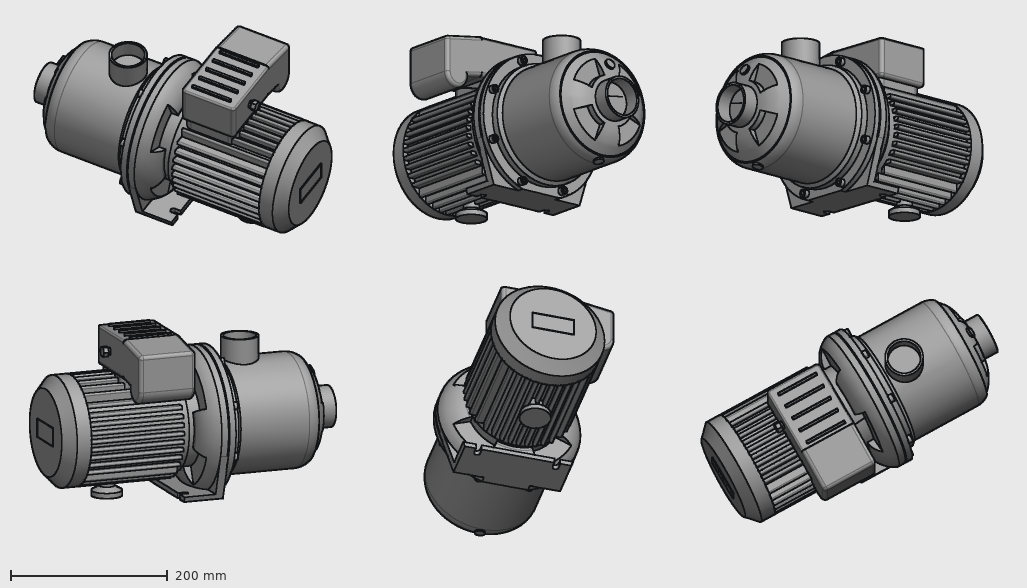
import cadquery as cq
import math


DOME_FRONT_X = 20.5
DOME_POCKET_FLOOR_X = 30.5
DOME_BACK_X = 40.0
SHOULDER_END_X = 55.5
BARREL_END_X = 149.0
COLLAR_START_X = 153.5
FLANGE_FRONT_X = 163.5
PLATE_FRONT_X = 172.0
PLATE_BACK_X = 182.7
WINDOW_FLOOR_X = 197.5
LANTERN_END_X = 207.0
MOTOR_FLANGE_X = 215.7
FINS_START_X = 225.0
FINS_END_X = 352.0
COVER_TAPER_X = 371.7
COVER_END_X = 387.0
NAMEPLATE_END_X = 388.0

DOME_FRONT_R = 27.0
POCKET_INNER_R = 34.0
DOME_POCKET_R = 58.0
DOME_BACK_R = 136.0 / 2
SHOULDER_START_R = 70.0
BARREL_R = 150.0 / 2
COLLAR_R = 160.0 / 2
FLANGE_R = 94.5
LANTERN_MID_R = 84.5
LANTERN_END_R = 64.0
NECK_R = 120.0 / 2
MOTOR_CORE_R = 130.0 / 2
MOTOR_R = 145.0 / 2
COVER_END_R = 57.0

INLET_D = 54.5
INLET_BORE_D = 48.0
OUTLET_D = 48.5
OUTLET_BORE_D = 42.3
OUTLET_X = 122.0
OUTLET_TOP_Z = 104.0
PORT_DEPTH = DOME_FRONT_X

POCKET_COUNT = 4
POCKET_SPAN = 50.0
WINDOW_SPAN = 45.0

PLUG_D = 13.5
PLUG_LENGTH = 6.0
VENT_FACE = (23.3, 50.0)
VENT_TILT = 24.0
DRAIN_FACE = (47.0, -75.3)
DRAIN_TILT = 75.5

GROUND_Z = -89.5
BRACKET_HALF_WIDTH = 70.5
BRACKET_SOLE = 7.0
GROOVE_WIDTH = 1.0
GROOVE_DEPTH = 1.0
SLOT_WIDTH = 7.8
SLOT_Y = 52.0
SLOT_DEPTH = 12.5

FIN_PITCH = 11.0
FIN_THICKNESS = 5.0
FINS_EACH_SIDE = 4
NAMEPLATE_LENGTH = 55.0
NAMEPLATE_HEIGHT = 24.0
FOOT_X = 303.5
FOOT_STEM_R = 20.0 / 2
FOOT_PAD_R = 40.0 / 2
FOOT_CONE_TOP_Z = -77.0
FOOT_PAD_TOP_Z = -82.5

BOX_START_X = 222.7
BOX_END_X = 299.5
BOX_MIN_Y = -43.0
BOX_MAX_Y = 106.5
BOX_BOTTOM_Z = 72.0
BOX_LID_Z = 123.8
BOX_STEP_Y = 48.5
BOX_STEP_Z = 125.5
ARM_SLOPE = 9.2
LOBE_R = 18.2
BOX_ROUND = 5.0
LID_ROUND = 2.5
BASE_START_X = 223.0
BASE_END_X = 297.2
BASE_WIDTH = 73.0
BASE_CORNER_R = 10.0
RIB_COUNT = 5
RIB_PITCH = 18.2
RIB_CENTRE_Y = 5.5
RIB_WIDTH = 3.5
RIB_HEIGHT = 2.7
RIB_START_X = 232.5
RIB_END_X = 288.3
GLAND_Z = 99.0
GLAND_STEM_D = 10.0
GLAND_NUT_X = 302.5
GLAND_END_X = 309.5
GLAND_FLATS = 12.0

SCREW_COUNT = 8
SCREW_CIRCLE_R = 87.0
SCREW_HEAD_D = 10.0
SCREW_HEAD_HEIGHT = 6.5
SOCKET_D = 5.5
SOCKET_DEPTH = 4.0


def turned(profile):
    """Revolve a closed (x, radius) profile around the shaft axis."""
    return profile.close().revolve(360, (0, 0, 0), (1, 0, 0))


def disc(start_x, end_x, radius):
    """Cylinder on the shaft axis."""
    return cq.Workplane("YZ", origin=(start_x, 0, 0)).circle(radius).extrude(end_x - start_x)


def block(start_x, end_x, min_y, max_y, min_z, max_z):
    """Box given by its limits."""
    size = (end_x - start_x, max_y - min_y, max_z - min_z)
    return cq.Workplane("XY", origin=(start_x, min_y, min_z)).box(*size, centered=False)


def sector_ring(start_x, end_x, inner_r, outer_r, span):
    """Four ring sectors centred on the diagonals between the Y and Z axes."""
    ring = disc(start_x, end_x, outer_r).cut(disc(start_x, end_x, inner_r))
    half_width = 2 * outer_r * math.tan(math.radians(span / 2))
    wedge = (
        cq.Workplane("YZ", origin=(start_x, 0, 0))
        .polyline([(0, 0), (2 * outer_r, half_width), (2 * outer_r, -half_width)])
        .close()
        .extrude(end_x - start_x)
    )
    sectors = cq.Workplane("YZ")
    for index in range(POCKET_COUNT):
        angle = (index + 0.5) * 360 / POCKET_COUNT
        sectors = sectors.add(wedge.rotate((0, 0, 0), (1, 0, 0), angle).intersect(ring))
    return sectors.combine()


def plug(face, tilt):
    """Plug whose outer face is centred at face = (x, z); tilt turns it from -X towards +Z or -Z."""
    side = math.copysign(1, face[1])
    outward = (-math.cos(math.radians(tilt)), 0, side * math.sin(math.radians(tilt)))
    plane = cq.Plane(origin=(face[0], 0, face[1]), xDir=(0, 1, 0), normal=outward)
    return cq.Workplane(plane).circle(PLUG_D / 2).extrude(-PLUG_LENGTH)


def shoulder_middle():
    """Middle of the shoulder arc, which runs out tangent to the barrel."""
    run = SHOULDER_END_X - DOME_BACK_X
    rise = BARREL_R - SHOULDER_START_R
    radius = (run**2 + rise**2) / (2 * rise)
    half_angle = math.asin(run / radius) / 2
    return (
        SHOULDER_END_X - radius * math.sin(half_angle),
        BARREL_R - radius * (1 - math.cos(half_angle)),
    )


def build_casing():
    """Dome, barrel and flange with the two ports and the plugs."""
    casing = turned(
        cq.Workplane("XY")
        .moveTo(DOME_FRONT_X, 0)
        .lineTo(DOME_FRONT_X, DOME_FRONT_R)
        .threePointArc((DOME_POCKET_FLOOR_X, DOME_POCKET_R), (DOME_BACK_X, DOME_BACK_R))
        .lineTo(DOME_BACK_X, SHOULDER_START_R)
        .threePointArc(shoulder_middle(), (SHOULDER_END_X, BARREL_R))
        .lineTo(BARREL_END_X, BARREL_R)
        .lineTo(COLLAR_START_X, COLLAR_R)
        .lineTo(FLANGE_FRONT_X, COLLAR_R)
        .lineTo(FLANGE_FRONT_X, FLANGE_R)
        .lineTo(PLATE_FRONT_X, FLANGE_R)
        .lineTo(PLATE_FRONT_X, 0)
    )
    casing = casing.cut(sector_ring(0, DOME_POCKET_FLOOR_X, POCKET_INNER_R, DOME_POCKET_R, POCKET_SPAN))
    inlet = disc(0, DOME_FRONT_X, INLET_D / 2)
    outlet = cq.Workplane("XY", origin=(OUTLET_X, 0, 0)).circle(OUTLET_D / 2).extrude(OUTLET_TOP_Z)
    outlet_bore = (
        cq.Workplane("XY", origin=(OUTLET_X, 0, OUTLET_TOP_Z - PORT_DEPTH))
        .circle(OUTLET_BORE_D / 2)
        .extrude(PORT_DEPTH)
    )
    casing = casing.union(inlet).union(outlet)
    casing = casing.cut(disc(0, PORT_DEPTH, INLET_BORE_D / 2)).cut(outlet_bore)
    return casing.union(plug(VENT_FACE, VENT_TILT)).union(plug(DRAIN_FACE, DRAIN_TILT))


def build_lantern():
    """Domed lantern with four windows, behind a rim with a thin joint groove."""
    lantern = turned(
        cq.Workplane("XY")
        .moveTo(PLATE_FRONT_X, 0)
        .lineTo(PLATE_FRONT_X, FLANGE_R - GROOVE_DEPTH)
        .lineTo(PLATE_FRONT_X + GROOVE_WIDTH, FLANGE_R - GROOVE_DEPTH)
        .lineTo(PLATE_FRONT_X + GROOVE_WIDTH, FLANGE_R)
        .lineTo(PLATE_BACK_X, FLANGE_R)
        .threePointArc((WINDOW_FLOOR_X, LANTERN_MID_R), (LANTERN_END_X, LANTERN_END_R))
        .lineTo(LANTERN_END_X, 0)
    )
    windows = sector_ring(WINDOW_FLOOR_X, LANTERN_END_X, NECK_R, FLANGE_R, WINDOW_SPAN)
    return lantern.cut(windows).union(disc(LANTERN_END_X, MOTOR_FLANGE_X, NECK_R))


def build_bracket():
    """Upright plate with slanted sides tangent to the flange, and a slotted sole plate."""
    corner_distance = math.hypot(BRACKET_HALF_WIDTH, GROUND_Z)
    tangent_angle = math.atan2(GROUND_Z, BRACKET_HALF_WIDTH) + math.acos(FLANGE_R / corner_distance)
    tangent_y = FLANGE_R * math.cos(tangent_angle)
    tangent_z = FLANGE_R * math.sin(tangent_angle)
    bracket = (
        cq.Workplane("YZ", origin=(PLATE_FRONT_X, 0, 0))
        .polyline([
            (-BRACKET_HALF_WIDTH, GROUND_Z),
            (BRACKET_HALF_WIDTH, GROUND_Z),
            (tangent_y, tangent_z),
            (-tangent_y, tangent_z),
        ])
        .close()
        .extrude(FINS_START_X - PLATE_FRONT_X)
    )
    above_sole = block(
        PLATE_BACK_X, FINS_START_X,
        -FLANGE_R, FLANGE_R,
        GROUND_Z + BRACKET_SOLE, tangent_z,
    )
    slots = (
        cq.Workplane("XY", origin=(FINS_START_X, 0, GROUND_Z))
        .pushPoints([(0, -SLOT_Y), (0, SLOT_Y)])
        .slot2D(2 * SLOT_DEPTH, SLOT_WIDTH)
        .extrude(BRACKET_SOLE)
    )
    return bracket.cut(above_sole).cut(slots)


def build_fins():
    """Parallel round-tipped fins on all four sides, left out under the front of the box base."""
    fins = cq.Workplane("YZ")
    for index in range(-FINS_EACH_SIDE, FINS_EACH_SIDE + 1):
        offset = index * FIN_PITCH
        length = 2 * math.sqrt(MOTOR_R**2 - offset**2)
        fin = (
            cq.Workplane("YZ", origin=(FINS_START_X, 0, 0))
            .center(0, offset)
            .slot2D(length, FIN_THICKNESS)
            .extrude(FINS_END_X - FINS_START_X)
        )
        fins = fins.union(fin).union(fin.rotate((0, 0, 0), (1, 0, 0), 90))
    base_middle_x = (BASE_START_X + BASE_END_X) / 2
    under_base = block(
        FINS_START_X, base_middle_x, -BASE_WIDTH / 2, BASE_WIDTH / 2, MOTOR_CORE_R / 2, MOTOR_R,
    )
    return fins.cut(under_base)


def build_motor():
    """Finned core with the fan cover, nameplate and foot."""
    motor = disc(MOTOR_FLANGE_X, FINS_END_X, MOTOR_CORE_R).union(build_fins())
    cover = turned(
        cq.Workplane("XY")
        .moveTo(FINS_END_X, 0)
        .lineTo(FINS_END_X, MOTOR_R)
        .lineTo(COVER_TAPER_X, MOTOR_R)
        .lineTo(COVER_END_X, COVER_END_R)
        .lineTo(COVER_END_X, 0)
    )
    nameplate = block(
        COVER_END_X, NAMEPLATE_END_X,
        -NAMEPLATE_LENGTH / 2, NAMEPLATE_LENGTH / 2,
        -NAMEPLATE_HEIGHT / 2, NAMEPLATE_HEIGHT / 2,
    )
    foot = (
        cq.Workplane("XZ", origin=(FOOT_X, 0, 0))
        .polyline([
            (0, GROUND_Z),
            (FOOT_PAD_R, GROUND_Z),
            (FOOT_PAD_R, FOOT_PAD_TOP_Z),
            (FOOT_STEM_R, FOOT_CONE_TOP_Z),
            (FOOT_STEM_R, -MOTOR_CORE_R + FIN_THICKNESS),
            (0, -MOTOR_CORE_R + FIN_THICKNESS),
        ])
        .close()
        .revolve(360, (0, 0, 0), (0, 1, 0))
    )
    return motor.union(cover).union(nameplate).union(foot)


def build_box_arm():
    """Sloping arm of the terminal box, ending in a rounded lobe that hangs down."""
    slope = math.tan(math.radians(ARM_SLOPE))
    lobe_y = BOX_MAX_Y - LOBE_R
    lobe_start_y = lobe_y - LOBE_R
    lobe_z = BOX_BOTTOM_Z - (lobe_start_y - BOX_STEP_Y) * slope
    end_top_z = BOX_STEP_Z - (BOX_MAX_Y - BOX_STEP_Y) * slope
    arm = (
        cq.Workplane("YZ", origin=(BOX_START_X, 0, 0))
        .moveTo(BOX_STEP_Y, BOX_BOTTOM_Z)
        .lineTo(lobe_start_y, lobe_z)
        .threePointArc((lobe_y, lobe_z - LOBE_R), (BOX_MAX_Y, lobe_z))
        .lineTo(BOX_MAX_Y, end_top_z)
        .lineTo(BOX_STEP_Y, BOX_STEP_Z)
        .close()
        .extrude(BOX_END_X - BOX_START_X)
    )
    outline = arm.faces("<X or >X").edges().edges(cq.selectors.BoxSelector(
        (BOX_START_X - 4, BOX_STEP_Y + 4, 0), (BOX_END_X + 4, BOX_MAX_Y + 4, BOX_STEP_Z),
    ))
    top_edge = arm.faces(">Y").edges(">Z")
    return arm.newObject(outline.vals() + top_edge.vals()).fillet(BOX_ROUND)


def build_terminal_box():
    """Terminal box on its base, with lid ribs and a cable gland."""
    lid_part = block(BOX_START_X, BOX_END_X, BOX_MIN_Y, BOX_STEP_Y, BOX_BOTTOM_Z, BOX_LID_Z)
    lid_part = lid_part.edges("(|Z and <Y) or (<Z and (not >Y))").fillet(BOX_ROUND)
    lid_part = lid_part.faces(">Z").edges("not >Y").fillet(LID_ROUND)
    base = (
        cq.Workplane("XY")
        .center((BASE_START_X + BASE_END_X) / 2, 0)
        .rect(BASE_END_X - BASE_START_X, BASE_WIDTH)
        .extrude(BOX_BOTTOM_Z + BOX_ROUND)
        .edges("|Z")
        .fillet(BASE_CORNER_R)
    )
    rib_length = RIB_END_X - RIB_START_X
    ribs = (
        cq.Workplane("XY", origin=(RIB_START_X + rib_length / 2, RIB_CENTRE_Y, BOX_LID_Z))
        .rarray(4, RIB_PITCH, 1, RIB_COUNT)
        .rect(rib_length, RIB_WIDTH)
        .extrude(RIB_HEIGHT)
    )
    stem = (
        cq.Workplane("YZ", origin=(BOX_END_X, 0, GLAND_Z))
        .circle(GLAND_STEM_D / 2)
        .extrude(GLAND_NUT_X - BOX_END_X)
    )
    nut = (
        cq.Workplane("YZ", origin=(GLAND_NUT_X, 0, GLAND_Z))
        .polygon(6, GLAND_FLATS / math.cos(math.radians(30)))
        .extrude(GLAND_END_X - GLAND_NUT_X)
    )
    return lid_part.union(build_box_arm()).union(base).union(ribs).union(stem).union(nut)


def build_pump():
    """All fixed parts joined and cut flat at ground level."""
    pump = build_casing().union(build_lantern()).union(build_bracket())
    pump = pump.union(build_motor()).union(build_terminal_box())
    below_ground = block(0, NAMEPLATE_END_X, -FLANGE_R, FLANGE_R, GROUND_Z - FLANGE_R, GROUND_Z)
    return pump.cut(below_ground)


def build_screw(angle):
    """Socket head seated on the front of the flange at the given angle around the shaft axis."""
    y = SCREW_CIRCLE_R * math.cos(math.radians(angle))
    z = SCREW_CIRCLE_R * math.sin(math.radians(angle))
    head_front_x = FLANGE_FRONT_X - SCREW_HEAD_HEIGHT
    head = (
        cq.Workplane("YZ", origin=(head_front_x, y, z))
        .circle(SCREW_HEAD_D / 2)
        .extrude(SCREW_HEAD_HEIGHT)
    )
    socket = cq.Workplane("YZ", origin=(head_front_x, y, z)).circle(SOCKET_D / 2).extrude(SOCKET_DEPTH)
    return head.cut(socket)


pump = build_pump()
screw_pitch = 360 / SCREW_COUNT
screws = [build_screw((index + 0.5) * screw_pitch) for index in range(SCREW_COUNT)]

result = cq.Compound.makeCompound([pump.val(), *[screw.val() for screw in screws]])